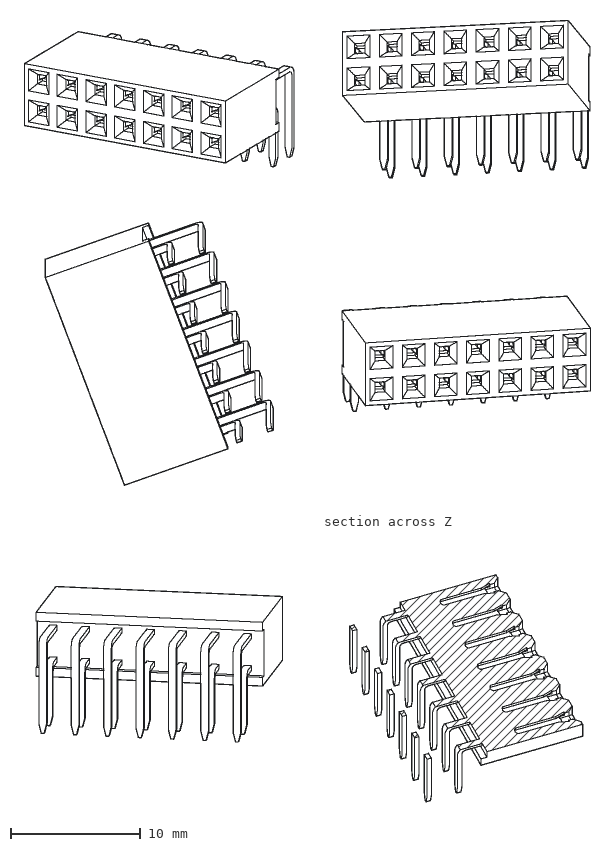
import cadquery as cq


pitch = 2.54
columns = 7
rows = 2

body_width = columns * pitch
body_height = rows * pitch
body_depth = 8.5
recess_depth = 0.5
lip_height = 0.7
back_y = body_depth - recess_depth

funnel_size = 1.8
hole_size = 0.8
funnel_depth = (funnel_size - hole_size) / 2
hole_end_y = 1.3

pin_width = 0.6
pin_thickness = 0.38
bend_outer_radius = 0.7
bend_inner_radius = bend_outer_radius - pin_thickness
overall_depth = 12.6
pin_drop = 3.5
tip_length = 0.75
tip_width = 0.22

fork_start_y = 0.85
fork_mouth_width = 1.1
fork_throat_y = 1.6
fork_end_y = 5.0
fork_floor_sag = 0.12

column_xs = [(i - (columns - 1) / 2) * pitch for i in range(columns)]
row_zs = [(j + 0.5) * pitch for j in range(rows)]


def box(x_size, y_start, y_end, z_size, x=0.0, z=0.0):
    """Block centred on (x, z) that spans y_start to y_end."""
    length = y_end - y_start
    return cq.Workplane("XY").box(x_size, length, z_size).translate((x, y_start + length / 2, z))


def make_body():
    mid_z = body_height / 2
    block = box(body_width, 0, body_depth, body_height, z=mid_z)
    recess = box(body_width, back_y, body_depth, body_height - 2 * lip_height, z=mid_z)
    return block.cut(recess)


def make_socket():
    """Volume removed for one contact, centred on the Y axis."""
    funnel = (
        cq.Workplane("XZ")
        .rect(funnel_size, funnel_size)
        .workplane(offset=-funnel_depth)
        .rect(hole_size, hole_size)
        .loft(ruled=True)
    )
    hole = box(hole_size, funnel_depth, hole_end_y, hole_size)
    half_mouth = fork_mouth_width / 2
    half_throat = pin_width / 2
    fork = (
        cq.Workplane("XY", origin=(0, 0, -pin_thickness / 2))
        .moveTo(-half_mouth, fork_start_y)
        .lineTo(half_mouth, fork_start_y)
        .lineTo(half_throat, fork_throat_y)
        .lineTo(half_throat, fork_end_y)
        .threePointArc((0, fork_end_y + fork_floor_sag), (-half_throat, fork_end_y))
        .lineTo(-half_throat, fork_throat_y)
        .close()
        .extrude(pin_thickness)
    )
    return funnel.union(hole).union(fork)


def make_pin(x, z, outer_y):
    """Bent pin leaving the back at (x, z), with its outer face at outer_y."""
    top_z = z + pin_thickness / 2
    inner_z = z - pin_thickness / 2
    inner_y = outer_y - pin_thickness
    tip_z = -pin_drop
    bent = (
        cq.Workplane("YZ", origin=(x - pin_width / 2, 0, 0))
        .moveTo(back_y, top_z)
        .lineTo(outer_y - bend_outer_radius, top_z)
        .radiusArc((outer_y, top_z - bend_outer_radius), bend_outer_radius)
        .lineTo(outer_y, tip_z)
        .lineTo(inner_y, tip_z)
        .lineTo(inner_y, inner_z - bend_inner_radius)
        .radiusArc((inner_y - bend_inner_radius, inner_z), -bend_inner_radius)
        .lineTo(back_y, inner_z)
        .close()
        .extrude(pin_width)
    )
    taper_z = tip_z + tip_length
    front_outline = (
        cq.Workplane("XZ", origin=(x, 0, 0))
        .moveTo(-pin_width / 2, top_z)
        .lineTo(pin_width / 2, top_z)
        .lineTo(pin_width / 2, taper_z)
        .lineTo(tip_width / 2, tip_z)
        .lineTo(-tip_width / 2, tip_z)
        .lineTo(-pin_width / 2, taper_z)
        .close()
        .extrude(-overall_depth)
    )
    return bent.intersect(front_outline)


result = make_body()
socket = make_socket()
for row, row_z in enumerate(row_zs):
    row_outer_y = overall_depth - (rows - 1 - row) * pitch
    for column_x in column_xs:
        result = result.cut(socket.translate((column_x, 0, row_z)))
        result = result.union(make_pin(column_x, row_z, row_outer_y))